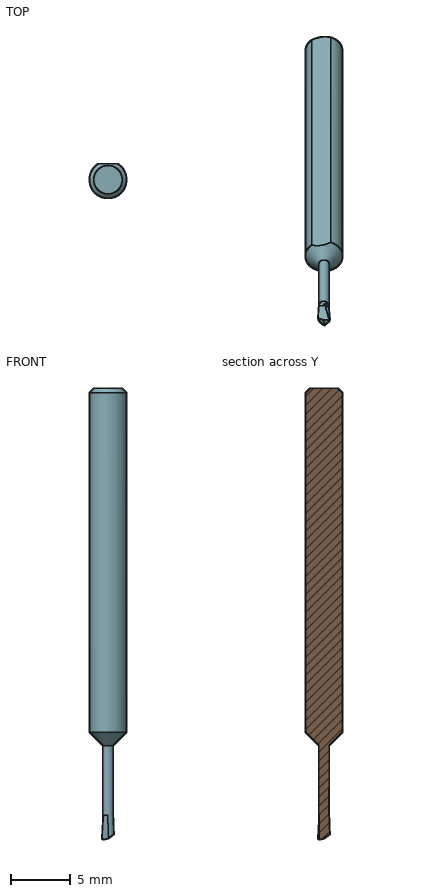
import cadquery as cq

total_length = 38.1
shank_radius = 1.58
flat_offset = 1.353
top_chamfer = 0.4
neck_radius = 0.45
cone_bottom_z = 7.95
cone_top_z = cone_bottom_z + shank_radius - neck_radius

head_radius = 0.55
head_top_z = 2.05
tip_y = 0.08

gash_top_z = 2.25
gash_floor_y = 0.2
flank_top_z = 2.1
flank_end_x = 0.057
gash_side_top = 0.3
gash_side_bottom = 0.55

corner_bevel = 0.5
end_relief = 0.1
tip_x = -0.42
margin = 1.15


def make_shank():
    profile = [
        (0, cone_bottom_z),
        (neck_radius, cone_bottom_z),
        (shank_radius, cone_top_z),
        (shank_radius, total_length - top_chamfer),
        (shank_radius - top_chamfer, total_length),
        (0, total_length),
    ]
    shank = cq.Workplane("XZ").polyline(profile).close().revolve(360, (0, 0), (0, 1))
    flat_cutter = cq.Workplane("XY").box(
        2 * shank_radius, shank_radius, total_length, centered=(True, False, False)
    )
    return shank.cut(flat_cutter.translate((0, flat_offset, 0)))


def make_neck_and_head():
    profile = [
        (0, 0),
        (head_radius, 0),
        (neck_radius, head_top_z),
        (neck_radius, cone_bottom_z),
        (0, cone_bottom_z),
    ]
    return cq.Workplane("XZ").polyline(profile).close().revolve(360, (0, 0), (0, 1))


def make_gash():
    """Sloping clearance on the +Y side, with a 45 degree run-out into the neck."""
    runout_z = gash_top_z - (neck_radius - gash_floor_y)
    outline = [
        (tip_y, 0),
        (gash_floor_y, runout_z),
        (margin, runout_z + margin - gash_floor_y),
        (margin, 0),
    ]
    return cq.Workplane("YZ").polyline(outline).close().extrude(margin, both=True)


def make_gash_side():
    """Slanted cut behind the tip, leaning in towards the axis on its way up."""
    def corner(offset):
        return [
            (-margin, offset - margin),
            (margin - offset, margin),
            (-margin, margin),
        ]

    return (
        cq.Workplane("XY").polyline(corner(gash_side_bottom)).close()
        .workplane(offset=head_top_z).polyline(corner(gash_side_top)).close()
        .loft(ruled=True)
    )


def make_flank():
    """Flat relief below the cutting edge, from the tip to the -Y side."""
    return (
        cq.Workplane("XY")
        .polyline([
            (-head_radius, 0),
            (flank_end_x, -head_radius),
            (flank_end_x, -margin),
            (-margin, -margin),
            (-margin, 0),
        ]).close().extrude(flank_top_z)
    )


def make_end_relief():
    """Corner bevel on the +X side and shallow relief on both sides of the tip."""
    outline = [
        (-margin, end_relief),
        (-head_radius, end_relief),
        (tip_x, 0),
        (head_radius - corner_bevel, end_relief),
        (head_radius, corner_bevel),
        (margin, corner_bevel),
        (margin, -margin),
        (-margin, -margin),
    ]
    return cq.Workplane("XZ").polyline(outline).close().extrude(margin, both=True)


cutting_end = make_neck_and_head()
for cutter in (make_gash(), make_gash_side(), make_flank(), make_end_relief()):
    cutting_end = cutting_end.cut(cutter)

result = make_shank().union(cutting_end)